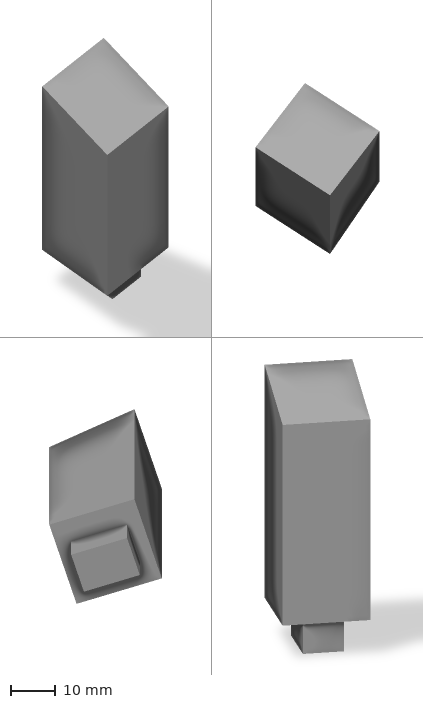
import cadquery as cq

total_height = 63.05
body_side = 20.0
slope_drop = 7.6
tenon_length_x = 13.1
tenon_width_y = 9.3
tenon_height = 8.15

half_side = body_side / 2


def make_body():
    """Square bar above the tenon, with its top slanting down toward +X."""
    return (
        cq.Workplane("XZ")
        .moveTo(-half_side, tenon_height)
        .lineTo(half_side, tenon_height)
        .lineTo(half_side, total_height - slope_drop)
        .lineTo(-half_side, total_height)
        .close()
        .extrude(half_side, both=True)
    )


def make_tenon():
    """Rectangular tenon centred under the body, standing on Z = 0."""
    return cq.Workplane("XY").rect(tenon_length_x, tenon_width_y).extrude(tenon_height)


result = make_body().union(make_tenon())